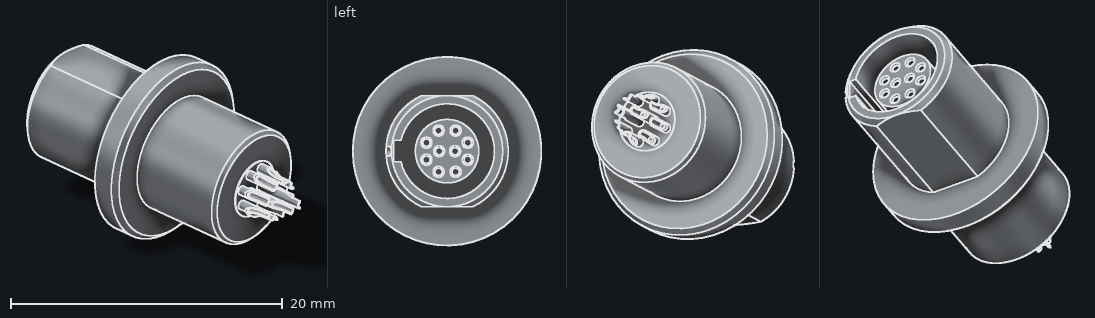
import cadquery as cq
import math

flange_front = 9.0
flange_back = 11.0
body_back = 18.5
insert_back = 18.56
outer_pin_end = 21.0
inner_pin_end = 22.5

body_radius = 4.5
flange_radius = 6.95
flat_height = 4.1
front_chamfer = body_radius - flat_height
flange_chamfer = 0.4
rear_chamfer = 0.3

bore_radius = 3.49
bore_depth = flange_front
insert_radius = 2.35
insert_recess = 1.0
rear_insert_radius = 2.2
keyway_width = 1.58
keyway_reach = 3.92

dot_radius = 0.35

outer_count = 8
contact_circle_radius = 1.65
inner_pin_offset = 0.58
contact_hole_radius = 0.27
contact_mouth_radius = 0.4
contact_hole_depth = 3.0

pin_diameter = 0.7
pin_radius = pin_diameter / 2
cup_hole_radius = 0.22
cup_floor_drop = 0.07
cup_sweep_radius = 1.8
cup_flat_length = 0.65
cup_hole_depth = 1.8


def disc(radius, start, end, y=0.0, z=0.0):
    """Cylinder along X from start to end."""
    return cq.Workplane("YZ", origin=(start, y, z)).circle(radius).extrude(end - start)


def make_shell():
    """Flatted front barrel, flange and rear barrel."""
    barrel = disc(body_radius, 0, flange_front).faces("<X").chamfer(front_chamfer)
    flat_sides = cq.Workplane("XY").box(
        flange_front, 2 * body_radius, 2 * flat_height, centered=(False, True, True)
    )
    flange = disc(flange_radius, flange_front, flange_back).faces(">X").chamfer(flange_chamfer)
    rear = disc(body_radius, flange_front, body_back).faces(">X").chamfer(rear_chamfer)
    return barrel.intersect(flat_sides).union(flange).union(rear)


def make_well():
    """Space around the contact insert, with the keyway on the +Y side."""
    keyway = cq.Workplane("XY").box(
        bore_depth, keyway_reach, keyway_width, centered=(False, False, True)
    )
    insert = disc(insert_radius, insert_recess, bore_depth)
    return disc(bore_radius, 0, bore_depth).union(keyway).cut(insert)


def make_dot():
    """Sphere that leaves the alignment dimple, its poles on the chamfer normal."""
    inset = dot_radius * math.sqrt(0.5)
    chamfer_plane = cq.Plane(
        origin=(inset, flat_height + inset, 0), xDir=(0, 0, 1), normal=(-1, 1, 0)
    )
    return cq.Workplane(chamfer_plane).sphere(dot_radius)


def contact_hole(y, z):
    """Blind socket hole with a countersunk mouth in the insert face."""
    mouth_depth = contact_mouth_radius - contact_hole_radius
    mouth = (
        cq.Workplane("YZ", origin=(insert_recess, y, z))
        .circle(contact_mouth_radius)
        .workplane(offset=mouth_depth)
        .circle(contact_hole_radius)
        .loft()
    )
    hole = disc(contact_hole_radius, insert_recess, insert_recess + contact_hole_depth, y, z)
    return hole.union(mouth)


def solder_pin(end, offset, angle):
    """Pin at the given distance from the axis, turned by angle about X from the +Y direction."""
    floor = -cup_floor_drop
    rise = pin_radius - floor
    sweep_length = math.sqrt(cup_sweep_radius**2 - (cup_sweep_radius - rise) ** 2)
    flat_start = end - cup_flat_length
    half_turn = math.asin(sweep_length / cup_sweep_radius) / 2
    mid_x = flat_start - cup_sweep_radius * math.sin(half_turn)
    mid_y = floor + cup_sweep_radius * (1 - math.cos(half_turn))
    opening = (
        cq.Workplane("XY")
        .moveTo(end, floor)
        .lineTo(flat_start, floor)
        .threePointArc((mid_x, mid_y), (flat_start - sweep_length, pin_radius))
        .lineTo(end, pin_radius)
        .close()
        .extrude(pin_radius, both=True)
    )
    pin = disc(pin_radius, body_back, end).cut(opening)
    pin = pin.cut(disc(cup_hole_radius, end - cup_hole_depth, end))
    return pin.translate((0, offset, 0)).rotate((0, 0, 0), (1, 0, 0), angle)


outer_step = 360 / outer_count
contacts = [
    (outer_pin_end, contact_circle_radius, (index + 0.5) * outer_step)
    for index in range(outer_count)
]
contacts += [(inner_pin_end, inner_pin_offset, angle) for angle in (0, 180)]

result = make_shell().cut(make_well())
result = result.cut(make_dot())
result = result.union(disc(rear_insert_radius, flange_back, insert_back))
for pin_end, offset, angle in contacts:
    turn = math.radians(angle)
    result = result.cut(contact_hole(offset * math.cos(turn), offset * math.sin(turn)))
    result = result.union(solder_pin(pin_end, offset, angle))